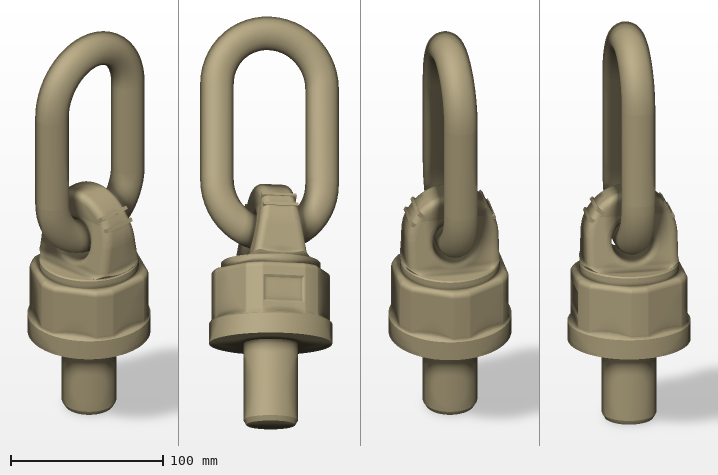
import cadquery as cq
import math

stud_radius = 18.0
stud_chamfer_radial = 2.0
stud_chamfer_height = 3.3
flange_diameter = 81.0
flange_bottom_z = 54.2
flange_thickness = 13.4
hex_apothem = 36.5
hex_turn = 30.0
hex_corner_radius = 39.2
hex_edge_fillet = 2.7
hex_top_fillet = 3.5
head_top_z = 102.8
shoulder_rise = 3.3
shoulder_overlap = 1.0
shoulder_fillet = 2.0

recess_width = 27.8
recess_height = 18.0
recess_depth = 1.0
recess_wall_run = 1.5
recess_centre_z = 84.8

collar_radius = 32.7
collar_thickness = 6.0
collar_chamfer = 0.8
lug_radius = 30.5
lug_arc_centre_z = 129.7
lug_tip_half_thickness = 11.7
lug_root_half_thickness = 18.3
taper_start_z = 144.5
lug_edge_fillet = 5.0
lug_root_fillet = 4.0
lug_overhang = 2.2
eye_centre_z = 126.5
eye_radius = 13.5
eye_flare = 4.0

mark_angles = (25.0, 41.0, 139.0, 155.0)
mark_width = 2.5
mark_rise = 0.5
mark_depth = 5.0

link_bar_diameter = 22.0
link_half_width = 46.5
link_lower_centre_z = 162.2
link_straight_length = 63.8
link_offset_y = 0.8


pick_margin = 0.3

flange_radius = flange_diameter / 2
flange_top_z = flange_bottom_z + flange_thickness
collar_top_z = head_top_z + collar_thickness
lug_top_z = lug_arc_centre_z + lug_radius
link_bar_radius = link_bar_diameter / 2
link_bend_radius = link_half_width - link_bar_radius


def make_head():
    """Hexagonal head with rounded corners and a rounded top rim."""
    height = head_top_z - flange_bottom_z
    hexagon = (
        cq.Workplane("XY", origin=(0, 0, flange_bottom_z))
        .polygon(6, 2 * hex_apothem / math.cos(math.pi / 6))
        .extrude(height)
        .rotate((0, 0, 0), (0, 0, 1), hex_turn)
    )
    corners = cq.Workplane("XY", origin=(0, 0, flange_bottom_z)).circle(hex_corner_radius).extrude(height)
    head = hexagon.intersect(corners).edges("|Z").fillet(hex_edge_fillet)
    return head.faces(">Z").edges().fillet(hex_top_fillet)


def make_flange():
    """Round flange whose upper side rises as a cone to the flats of the head."""
    return (
        cq.Workplane("XZ")
        .moveTo(0, flange_bottom_z)
        .lineTo(flange_radius, flange_bottom_z)
        .lineTo(flange_radius, flange_top_z)
        .lineTo(hex_apothem - shoulder_overlap, flange_top_z + shoulder_rise)
        .lineTo(0, flange_top_z + shoulder_rise)
        .close()
        .revolve(360, (0, 0, 0), (0, 1, 0))
    )


def make_stud():
    """Plain stud with a chamfered lower end."""
    return (
        cq.Workplane("XY")
        .circle(stud_radius)
        .extrude(flange_bottom_z)
        .faces("<Z")
        .chamfer(stud_chamfer_height, stud_chamfer_radial)
    )


def make_recess():
    """Shallow rectangular recess with sloping walls."""
    return (
        cq.Workplane("YZ", origin=(-hex_apothem, 0, recess_centre_z))
        .rect(recess_width, recess_height)
        .workplane(offset=recess_depth)
        .rect(recess_width - 2 * recess_wall_run, recess_height - 2 * recess_wall_run)
        .loft()
    )


def make_bolt():
    """Head, flange and stud in one piece, with a fillet where the head meets the flange cone."""
    shoulder_zone = cq.selectors.BoxSelector(
        (-flange_radius, -flange_radius, flange_top_z + pick_margin),
        (flange_radius, flange_radius, flange_top_z + shoulder_rise),
    )
    body = make_head().union(make_flange()).edges(shoulder_zone).fillet(shoulder_fillet)
    return body.union(make_stud()).cut(make_recess())


def make_lug_blank():
    """Round-topped lug, parallel at the tip and thicker towards the collar."""
    outline = (
        cq.Workplane("XZ")
        .moveTo(-lug_radius, head_top_z)
        .lineTo(-lug_radius, lug_arc_centre_z)
        .threePointArc((0, lug_top_z), (lug_radius, lug_arc_centre_z))
        .lineTo(lug_radius, head_top_z)
        .close()
        .extrude(collar_radius, both=True)
    )
    slope = (lug_root_half_thickness - lug_tip_half_thickness) / (taper_start_z - collar_top_z)
    bottom_half_thickness = lug_root_half_thickness + slope * collar_thickness
    thickness_profile = (
        cq.Workplane("YZ")
        .polyline(
            [
                (-bottom_half_thickness, head_top_z),
                (-lug_tip_half_thickness, taper_start_z),
                (-lug_tip_half_thickness, lug_top_z),
                (lug_tip_half_thickness, lug_top_z),
                (lug_tip_half_thickness, taper_start_z),
                (bottom_half_thickness, head_top_z),
            ]
        )
        .close()
        .extrude(lug_radius, both=True)
    )
    return outline.intersect(thickness_profile)


def make_lug():
    """Lug blank with its outer edges rounded along both faces."""
    blank = make_lug_blank()
    return blank.edges("not(<Z or |Y or |X)").fillet(lug_edge_fillet)


def make_marks():
    """Narrow square-cornered bands standing slightly above the rim of the lug."""
    band = (
        cq.Workplane("XY")
        .box(mark_depth + mark_rise, 2 * lug_tip_half_thickness, mark_width)
        .translate((lug_radius - (mark_depth - mark_rise) / 2, 0, 0))
    )
    marks = []
    for angle in mark_angles:
        marks.append(band.rotate((0, 0, 0), (0, 1, 0), -angle).translate((0, 0, lug_arc_centre_z)))
    return marks


def make_collar_envelope():
    """Solid of revolution that trims the root fillet to the chamfered collar."""
    chamfered_radius = collar_radius - collar_chamfer
    lug_corner_reach = collar_radius + lug_overhang
    return (
        cq.Workplane("XZ")
        .moveTo(0, head_top_z)
        .lineTo(collar_radius, head_top_z)
        .lineTo(collar_radius, collar_top_z - collar_chamfer)
        .lineTo(chamfered_radius, collar_top_z)
        .lineTo(lug_corner_reach, collar_top_z + lug_root_fillet)
        .lineTo(lug_corner_reach, lug_top_z)
        .lineTo(0, lug_top_z)
        .close()
        .revolve(360, (0, 0, 0), (0, 1, 0))
    )


def make_eye():
    """Swivel eye: collar, filleted lug, flared hole and rim marks."""
    reach = collar_radius + lug_root_fillet
    block_size = 3 * collar_radius
    base = cq.Workplane("XY", origin=(0, 0, head_top_z)).rect(block_size, block_size).extrude(collar_thickness)
    root_zone = cq.selectors.BoxSelector(
        (-reach, -reach, collar_top_z - pick_margin),
        (reach, reach, collar_top_z + pick_margin),
    )
    eye = make_lug().union(base).edges(root_zone).fillet(lug_root_fillet)

    hole = cq.Workplane("XZ", origin=(0, 0, eye_centre_z)).circle(eye_radius).extrude(block_size, both=True)
    mouth_zone = cq.selectors.BoxSelector(
        (-pick_margin, -reach, eye_centre_z - pick_margin),
        (pick_margin, reach, eye_centre_z + pick_margin),
    )
    eye = eye.cut(hole).edges(mouth_zone).fillet(eye_flare)
    eye = eye.intersect(make_collar_envelope())
    for mark in make_marks():
        eye = eye.union(mark)
    return eye


def make_link():
    """Oval ring of round bar standing in the YZ plane."""
    upper_centre_z = link_lower_centre_z + link_straight_length
    path = (
        cq.Workplane("YZ")
        .moveTo(link_bend_radius, link_lower_centre_z)
        .lineTo(link_bend_radius, upper_centre_z)
        .threePointArc((0, upper_centre_z + link_bend_radius), (-link_bend_radius, upper_centre_z))
        .lineTo(-link_bend_radius, link_lower_centre_z)
        .threePointArc((0, link_lower_centre_z - link_bend_radius), (link_bend_radius, link_lower_centre_z))
        .close()
    )
    bar = cq.Workplane("XY", origin=(0, link_bend_radius, link_lower_centre_z)).circle(link_bar_radius)
    return bar.sweep(path).translate((0, link_offset_y, 0))


bolt = make_bolt()
eye = make_eye()
link = make_link()

result = cq.Compound.makeCompound([bolt.solids().val(), eye.solids().val(), link.solids().val()])